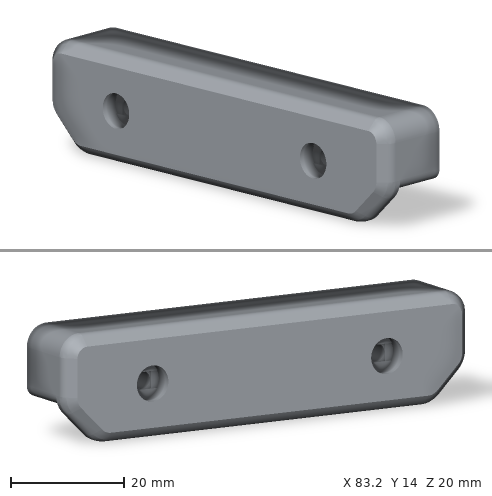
import cadquery as cq

length = 83.2
depth = 14.0
height = 20.0

plate_thickness = 4.0
corner_cut = 7.0
top_corner_radius = 4.0
lower_corner_radius = 4.7
front_chamfer = 2.0
front_blend_radius = 2.0

block_height = 13.0
block_lower_radius = 2.0

hole_spacing = 48.3
hole_diameter = 3.2
counterbore_diameter = 6.5
counterbore_depth = 3.0
bridge_step = 0.25

half_length = length / 2
half_height = height / 2


def plane_at(y, x=0, z=0):
    """Sketch plane parallel to the front face; extrusions run towards the front."""
    return cq.Workplane("XZ", origin=(x, y, z))


def make_plate():
    """Plate with cut lower corners and a chamfered, blended front edge."""
    cut_top = corner_cut - half_height
    cut_inner = half_length - corner_cut
    plate = (
        plane_at(plate_thickness)
        .moveTo(-half_length, half_height)
        .lineTo(half_length, half_height)
        .lineTo(half_length, cut_top)
        .lineTo(cut_inner, -half_height)
        .lineTo(-cut_inner, -half_height)
        .lineTo(-half_length, cut_top)
        .close()
        .extrude(plate_thickness)
    )
    plate = plate.edges("|Y and >Z").fillet(top_corner_radius)
    lower_half = cq.selectors.BoxSelector((-length, -depth, -height), (length, depth, 0))
    plate = plate.edges("|Y").edges(lower_half).fillet(lower_corner_radius)
    plate = plate.faces("<Y").chamfer(front_chamfer)

    ridge_front = front_chamfer / 2
    ridge_back = (front_chamfer + plate_thickness) / 2
    ridge = cq.selectors.BoxSelector((-length, ridge_front, -height), (length, ridge_back, height))
    return plate.edges("not |Y").edges(ridge).fillet(front_blend_radius)


def make_block():
    """Block behind the plate with its four front-to-back edges rounded."""
    block_depth = depth - plate_thickness
    block_centre = half_height - block_height / 2
    block = plane_at(depth, z=block_centre).rect(length, block_height).extrude(block_depth)
    block = block.edges("|Y and >Z").fillet(top_corner_radius)
    return block.edges("|Y and <Z").fillet(block_lower_radius)


def make_screw_hole(x):
    """Through hole whose counterbore floor steps down to a slot and then a square."""
    slot_floor = counterbore_depth + bridge_step
    square_floor = slot_floor + bridge_step
    counterbore_radius = counterbore_diameter / 2

    bore = plane_at(counterbore_depth, x).circle(counterbore_radius).extrude(counterbore_depth)
    slot_bar = plane_at(slot_floor, x).rect(counterbore_diameter, hole_diameter).extrude(bridge_step)
    slot_disc = plane_at(slot_floor, x).circle(counterbore_radius).extrude(bridge_step)
    slot = slot_bar.intersect(slot_disc)
    square = plane_at(square_floor, x).rect(hole_diameter, hole_diameter).extrude(bridge_step)
    shank = plane_at(depth, x).circle(hole_diameter / 2).extrude(depth)
    return bore.union(slot).union(square).union(shank)


result = make_plate().union(make_block())
for hole_x in (-hole_spacing / 2, hole_spacing / 2):
    result = result.cut(make_screw_hole(hole_x))